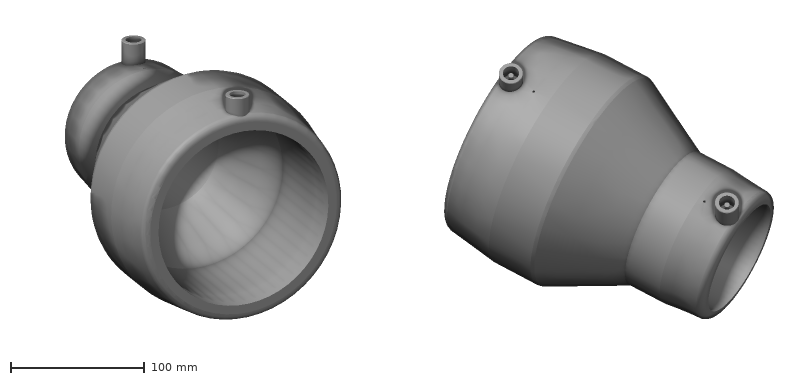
import cadquery as cq
import math

LENGTH = 212.0
OVERALL_HEIGHT = 184.5
SMALL_RADIUS = 113.0 / 2
LARGE_RADIUS = 177.0 / 2
SMALL_BORE_RADIUS = 90.0 / 2
LARGE_BORE_RADIUS = 140.0 / 2
SMALL_TAPER_END = 35.8
CONE_START = 66.4
CONE_END = 128.5
LARGE_TAPER_START = 166.5
SMALL_TAPER_ANGLE = 5.0
LARGE_TAPER_ANGLE = 8.2
RIM_FILLET = 6.0
SHOULDER_FILLET = 6.4

TERMINAL_INSET = 11.0
TERMINAL_RADIUS = 9.1
TERMINAL_EDGE = 0.5
SOCKET_RADIUS = 12.0 / 2
SOCKET_DEPTH = 12.7
PIN_RADIUS = 4.0 / 2
PIN_RECESS = 3.2
SMALL_TERMINAL_TOP = 72.0
LARGE_TERMINAL_TOP = OVERALL_HEIGHT - LARGE_RADIUS
TERMINAL_ROOT = 3.2

SMALL_HOLE_RADIUS = 2.0 / 2
INDICATOR_INSET = 31.0
INDICATOR_DEPTH = 4.2
STOP_HEIGHT = 2.1
STOP_ROOT = 2.1


def make_shell():
    """Revolve the outer profile, round its edges and remove the bore."""
    small_drop = SMALL_TAPER_END * math.tan(math.radians(SMALL_TAPER_ANGLE))
    large_drop = (LENGTH - LARGE_TAPER_START) * math.tan(math.radians(LARGE_TAPER_ANGLE))
    small_rim_radius = SMALL_RADIUS - small_drop
    large_rim_radius = LARGE_RADIUS - large_drop
    outside = (
        cq.Workplane("XZ")
        .polyline([
            (0, 0),
            (0, small_rim_radius),
            (SMALL_TAPER_END, SMALL_RADIUS),
            (CONE_START, SMALL_RADIUS),
            (CONE_END, LARGE_RADIUS),
            (LARGE_TAPER_START, LARGE_RADIUS),
            (LENGTH, large_rim_radius),
            (LENGTH, 0),
        ])
        .close()
        .revolve(360, (0, 0, 0), (1, 0, 0))
    )
    outside = outside.faces("<X or >X").edges().fillet(RIM_FILLET)
    shoulder = cq.selectors.BoxSelector(
        (CONE_END - SHOULDER_FILLET, -LENGTH, -LENGTH),
        (CONE_END + SHOULDER_FILLET, LENGTH, LENGTH),
    )
    outside = outside.edges(shoulder).fillet(SHOULDER_FILLET)
    bore = (
        cq.Workplane("XZ")
        .polyline([
            (0, 0),
            (0, SMALL_BORE_RADIUS),
            (CONE_START, SMALL_BORE_RADIUS),
            (CONE_END, LARGE_BORE_RADIUS),
            (LENGTH, LARGE_BORE_RADIUS),
            (LENGTH, 0),
        ])
        .close()
        .revolve(360, (0, 0, 0), (1, 0, 0))
    )
    return outside.cut(bore)


def upright_cylinder(x, bottom, top, radius):
    """Make a vertical cylinder on the XZ plane of symmetry."""
    return cq.Workplane("XY", origin=(x, 0, bottom)).circle(radius).extrude(top - bottom)


def make_terminal(x, bottom, top):
    """Make a terminal: a post with an open socket around a contact pin."""
    floor = top - SOCKET_DEPTH
    post = upright_cylinder(x, bottom, top, TERMINAL_RADIUS).faces(">Z").edges().chamfer(TERMINAL_EDGE)
    socket = upright_cylinder(x, floor, top, SOCKET_RADIUS)
    pin = upright_cylinder(x, bottom, top - PIN_RECESS, PIN_RADIUS)
    return post, socket, pin


def make_stop_pin():
    """Make the stop on the -Y side of the small bore, where the inner cone starts."""
    return (
        cq.Workplane("XZ", origin=(CONE_START - SMALL_HOLE_RADIUS, -SMALL_BORE_RADIUS + STOP_HEIGHT, 0))
        .circle(SMALL_HOLE_RADIUS)
        .extrude(STOP_HEIGHT + STOP_ROOT)
    )


result = make_shell()

terminals = [
    (TERMINAL_INSET, SMALL_BORE_RADIUS, SMALL_TERMINAL_TOP),
    (LENGTH - TERMINAL_INSET, LARGE_BORE_RADIUS, LARGE_TERMINAL_TOP),
]
for terminal_x, bore_radius, terminal_top in terminals:
    post, socket, pin = make_terminal(terminal_x, bore_radius + TERMINAL_ROOT, terminal_top)
    result = result.union(post).cut(socket).union(pin)

small_indicator_surface = SMALL_RADIUS - (SMALL_TAPER_END - INDICATOR_INSET) * math.tan(
    math.radians(SMALL_TAPER_ANGLE)
)
large_indicator_surface = LARGE_RADIUS - (LENGTH - INDICATOR_INSET - LARGE_TAPER_START) * math.tan(
    math.radians(LARGE_TAPER_ANGLE)
)
indicators = [
    (INDICATOR_INSET, small_indicator_surface, SMALL_RADIUS),
    (LENGTH - INDICATOR_INSET, large_indicator_surface, LARGE_RADIUS),
]
for indicator_x, surface, above_surface in indicators:
    result = result.cut(
        upright_cylinder(indicator_x, surface - INDICATOR_DEPTH, above_surface, SMALL_HOLE_RADIUS)
    )

result = result.union(make_stop_pin())